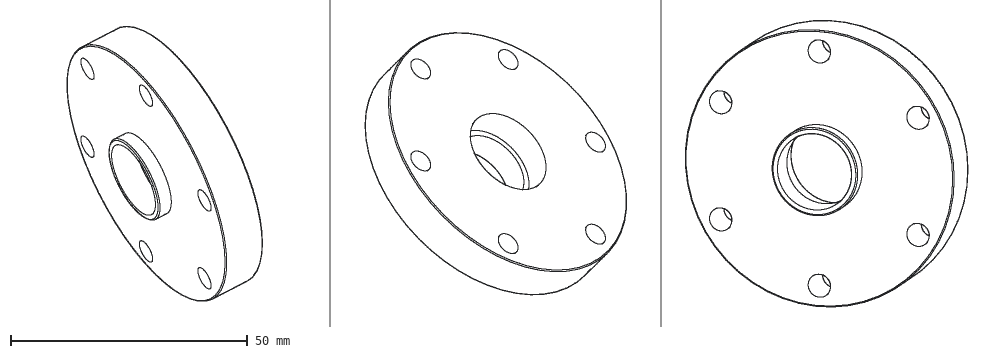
import cadquery as cq

flange_diameter = 60.0
flange_thickness = 9.55
flange_chamfer = 0.25

overall_depth = 12.7
boss_diameter = 19.1
boss_height = overall_depth - flange_thickness
boss_chamfer = 0.3
bore_diameter = 16.5

counterbore_diameter = boss_diameter
counterbore_depth = 6.6

bolt_count = 6
bolt_circle_diameter = 50.8
bolt_hole_diameter = 5.0
first_bolt_angle = 90.0


def make_flange():
    """Disc from y = 0 to y = flange_thickness, chamfered on both rims."""
    disc = cq.Workplane("XZ").circle(flange_diameter / 2).extrude(-flange_thickness)
    return disc.edges().chamfer(flange_chamfer)


def make_boss():
    """Short collar standing out of the -Y face, chamfered at its free end."""
    collar = cq.Workplane("XZ").circle(boss_diameter / 2).extrude(boss_height)
    return collar.faces("<Y").edges().chamfer(boss_chamfer)


def make_back_cutter(diameter, depth):
    """Round cutter on the part axis, sunk from the +Y face of the flange."""
    back_face = cq.Workplane("XZ", origin=(0, flange_thickness, 0))
    return back_face.circle(diameter / 2).extrude(depth)


def make_bolt_holes():
    """Cutters for the ring of holes through the flange."""
    ring = cq.Workplane("XZ").polarArray(bolt_circle_diameter / 2, first_bolt_angle, 360, bolt_count)
    return ring.circle(bolt_hole_diameter / 2).extrude(-flange_thickness)


body = make_flange().union(make_boss())
body = body.cut(make_back_cutter(bore_diameter, overall_depth))
body = body.cut(make_back_cutter(counterbore_diameter, counterbore_depth))
result = body.cut(make_bolt_holes())